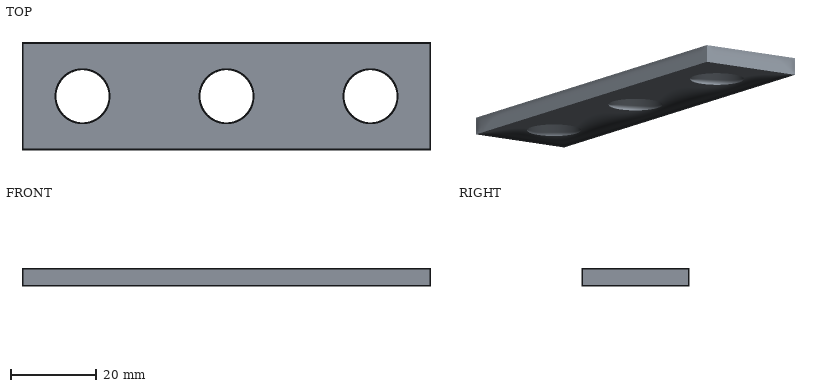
import cadquery as cq

length = 95.6
width = 25.0
thickness = 4.0

hole_diameter = 12.6
hole_spacing = 33.7
hole_count = 3

bar = cq.Workplane("XY").box(length, width, thickness)

result = (
    bar.faces(">Z")
    .workplane()
    .rarray(hole_spacing, width, hole_count, 1)
    .hole(hole_diameter)
)